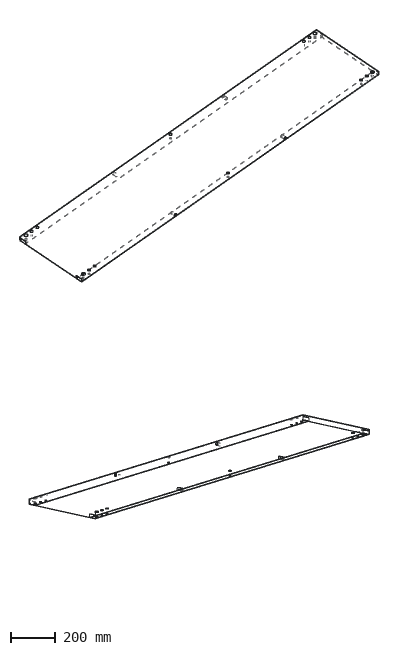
import cadquery as cq

length = 1888.0
width = 389.0
height = 26.0

sheet = 2.0
bend_radius = 4.7
lip_width = 34.0
end_flange_width = 315.0
end_fold_depth = 10.0

hole_x = 180.0
small_hole_ys = [-884.0, -848.0, 0.0, 848.0, 884.0]
small_hole_diameter = 13.0
small_lip_hole_diameter = 8.0
corner_hole_ys = [-920.0, 920.0]
corner_hole_diameter = 17.0
corner_lip_hole_diameter = 11.0

insert_ys = [-350.0, 350.0]
insert_diameter = 13.0
insert_length = 23.0

top_z = height / 2
bottom_z = -height / 2


def rounded_block(inset):
    """Block inset from the outer faces, rounded along its long edges and its top end edges."""
    block = cq.Workplane("XY").box(width - 2 * inset, length - 2 * inset, height - 2 * inset)
    return block.edges("|Y or (|X and >Z)").fillet(bend_radius - inset)


def bottom_opening():
    """Opening in the underside between the two lips and the two end flanges."""
    return (
        cq.Workplane("XY", origin=(0, 0, bottom_z))
        .rect(width - 2 * lip_width, length - 2 * sheet)
        .extrude(height / 2)
    )


def end_notches():
    """Reliefs in the four corners, between each end flange and the folded sides."""
    inner_x = end_flange_width / 2
    outer_x = width / 2 - sheet
    middle_x = (inner_x + outer_x) / 2
    centers = [(x, y) for x in (-middle_x, middle_x) for y in (-length / 2, length / 2)]
    return (
        cq.Workplane("XY", origin=(0, 0, bottom_z + sheet))
        .pushPoints(centers)
        .rect(outer_x - inner_x, 2 * bend_radius)
        .extrude(height - sheet - end_fold_depth)
    )


def hole_rows(ys, top_diameter, lip_diameter):
    """Cutters for holes along both long sides: one size in the top sheet, another in the lip."""
    points = [(x, y) for x in (-hole_x, hole_x) for y in ys]
    middle = cq.Workplane("XY").pushPoints(points)
    top_holes = middle.circle(top_diameter / 2).extrude(top_z)
    lip_holes = middle.circle(lip_diameter / 2).extrude(bottom_z)
    return top_holes.union(lip_holes)


def make_insert(side, y):
    """Solid round insert at one long side: side is -1 for the -X side and 1 for the +X side."""
    start_x = width / 2 - insert_length if side > 0 else -width / 2
    return (
        cq.Workplane("YZ", origin=(start_x, y, 0))
        .circle(insert_diameter / 2)
        .extrude(insert_length)
    )


def make_shelf(inserts):
    """Folded sheet shelf with every hole, including the seats of the inserts."""
    shelf = rounded_block(0).cut(rounded_block(sheet))
    shelf = shelf.cut(bottom_opening()).cut(end_notches())
    shelf = shelf.cut(hole_rows(small_hole_ys, small_hole_diameter, small_lip_hole_diameter))
    shelf = shelf.cut(hole_rows(corner_hole_ys, corner_hole_diameter, corner_lip_hole_diameter))
    for insert in inserts:
        shelf = shelf.cut(insert)
    return shelf


inserts = [make_insert(side, y) for side in (-1, 1) for y in insert_ys]
shelf = make_shelf(inserts)

result = cq.Compound.makeCompound([shelf.val(), *[insert.val() for insert in inserts]])